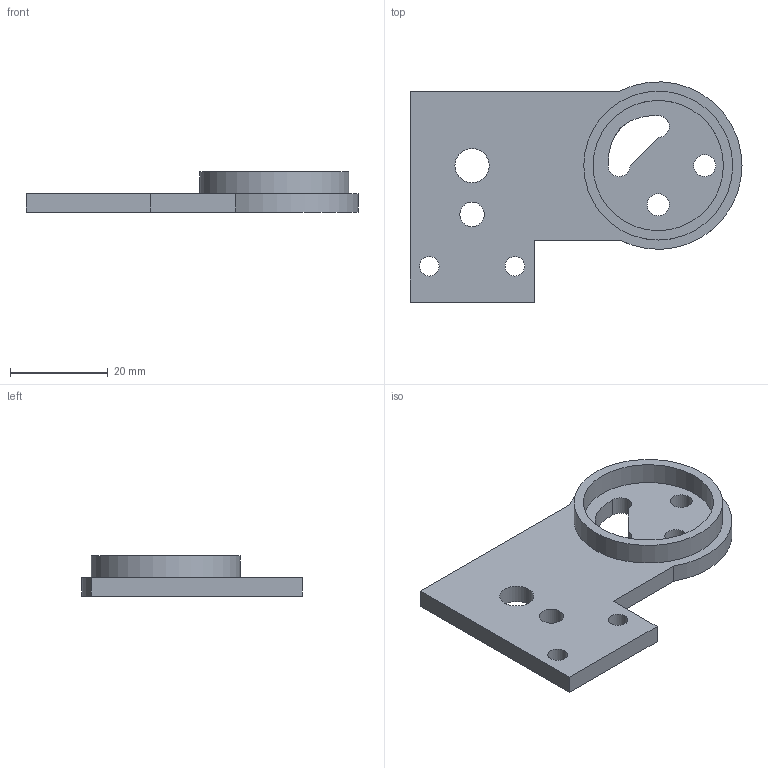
import cadquery as cq

INCH = 25.4

plate_thickness = 0.15 * INCH
arm_width = 1.2 * INCH
foot_length = 1.0 * INCH
foot_bottom_y = -1.1 * INCH

head_x = 2.0 * INCH
head_diameter = 1.35 * INCH
ring_outer_diameter = 30.48
ring_inner_diameter = 26.67
ring_height = 0.175 * INCH

hole_line_x = foot_length / 2
large_hole_diameter = 7.0
medium_hole_diameter = 5.0
medium_hole_y = -10.0
foot_hole_diameter = 4.0
foot_hole_spacing = 17.5
foot_hole_y = -20.6

head_hole_diameter = 4.5
side_hole_offset = 9.5
lower_hole_offset = 8.0
slot_end_offset = 8.0
slot_end_diameter = 4.5


def make_plate():
    """L-shaped plate merged with the round head."""
    half_width = arm_width / 2
    outline = [
        (0, half_width),
        (head_x, half_width),
        (head_x, -half_width),
        (foot_length, -half_width),
        (foot_length, foot_bottom_y),
        (0, foot_bottom_y),
    ]
    plate = cq.Workplane("XY").polyline(outline).close().extrude(plate_thickness)
    head = cq.Workplane("XY").center(head_x, 0).circle(head_diameter / 2).extrude(plate_thickness)
    return plate.union(head)


def make_ring():
    """Thin-walled ring on top of the head."""
    return (
        cq.Workplane("XY", origin=(head_x, 0, plate_thickness))
        .circle(ring_outer_diameter / 2)
        .circle(ring_inner_diameter / 2)
        .extrude(ring_height)
    )


def through_hole(x, y, diameter):
    """Cutter for a round hole through the plate."""
    return cq.Workplane("XY").center(x, y).circle(diameter / 2).extrude(plate_thickness)


def make_slot():
    """Cutter for the slot: two round ends, a bulging outer curve and a straight inner side."""
    end_radius = slot_end_diameter / 2
    outer_reach = slot_end_offset + end_radius
    inner_offset = slot_end_offset - end_radius
    bezier_points = [(-outer_reach, 0), (-outer_reach, outer_reach), (0, outer_reach)]
    slot = (
        cq.Workplane("XY", origin=(head_x, 0, 0))
        .bezier(bezier_points)
        .lineTo(0, inner_offset)
        .lineTo(-inner_offset, 0)
        .close()
        .extrude(plate_thickness)
    )
    slot = slot.union(through_hole(head_x, slot_end_offset, slot_end_diameter))
    return slot.union(through_hole(head_x - slot_end_offset, 0, slot_end_diameter))


holes = [
    (hole_line_x, 0, large_hole_diameter),
    (hole_line_x, medium_hole_y, medium_hole_diameter),
    (hole_line_x - foot_hole_spacing / 2, foot_hole_y, foot_hole_diameter),
    (hole_line_x + foot_hole_spacing / 2, foot_hole_y, foot_hole_diameter),
    (head_x + side_hole_offset, 0, head_hole_diameter),
    (head_x, -lower_hole_offset, head_hole_diameter),
]

result = make_plate().union(make_ring()).cut(make_slot())
for x, y, diameter in holes:
    result = result.cut(through_hole(x, y, diameter))